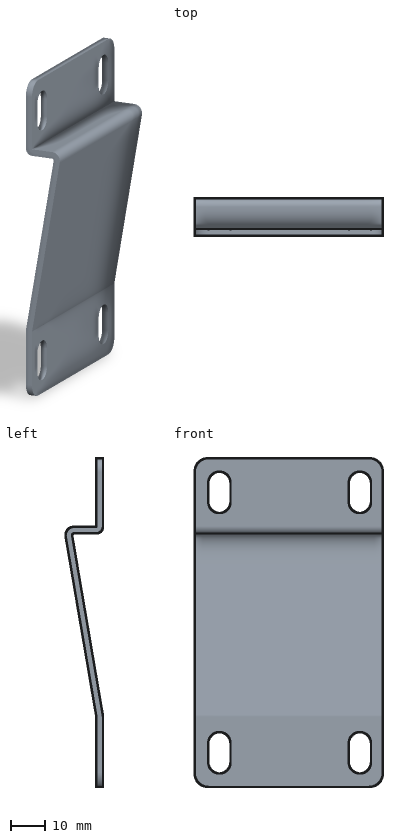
import cadquery as cq
import math

width = 55.0
depth = 11.0
height = 96.0
thickness = 2.0

upper_flange_height = 20.0
lower_flange_height = 20.5
inner_radius = 0.5
outer_radius = inner_radius + thickness

corner_radius = 4.0
slot_width = 6.4
slot_length = 12.0
slot_pitch = 41.0
slot_offset = 0.25
slot_edge_distance = 10.0

shelf_top = height - upper_flange_height
lower_bend = (thickness + inner_radius, lower_flange_height)
upper_bend = (depth - outer_radius, shelf_top - outer_radius)
flange_bend = (thickness, shelf_top)

bend_dy = upper_bend[0] - lower_bend[0]
bend_dz = upper_bend[1] - lower_bend[1]
bend_distance = math.hypot(bend_dy, bend_dz)
web_lean = math.degrees(
    math.atan2(bend_dy, bend_dz) + math.asin((inner_radius + outer_radius) / bend_distance)
)


def on_bend(center, radius, angle):
    """Point on a bend, with the angle in degrees from +Y towards +Z."""
    turn = math.radians(angle)
    return (center[0] + radius * math.cos(turn), center[1] + radius * math.sin(turn))


def add_bend(path, center, radius, start, end):
    """Run the path straight to the bend, then around it."""
    middle = (start + end) / 2
    return path.lineTo(*on_bend(center, radius, start)).threePointArc(
        on_bend(center, radius, middle), on_bend(center, radius, end)
    )


def make_folded_sheet():
    """Constant-thickness folded strip, centred on X = 0."""
    path = cq.Workplane("YZ").moveTo(0, 0)
    path = add_bend(path, lower_bend, outer_radius, 180, 180 - web_lean)
    path = add_bend(path, upper_bend, inner_radius, -web_lean, 90)
    path = add_bend(path, flange_bend, thickness, 270, 180)
    path = path.lineTo(0, height).lineTo(thickness, height)
    path = path.lineTo(*flange_bend)
    path = add_bend(path, upper_bend, outer_radius, 90, -web_lean)
    path = add_bend(path, lower_bend, inner_radius, 180 - web_lean, 180)
    path = path.lineTo(thickness, 0).close()
    return path.extrude(width / 2, both=True)


def round_corners(sheet):
    """Round the four outer corners of the flanges."""
    return sheet.faces("<Z or >Z").edges("|Y").fillet(corner_radius)


def cut_slots(sheet):
    """Upright mounting slots, two in each flange."""
    slot_heights = (slot_edge_distance, height - slot_edge_distance)
    slot_columns = (slot_offset - slot_pitch / 2, slot_offset + slot_pitch / 2)
    centers = [(x, z) for x in slot_columns for z in slot_heights]
    slots = (
        cq.Workplane("XZ")
        .pushPoints(centers)
        .slot2D(slot_length, slot_width, 90)
        .extrude(-thickness)
    )
    return sheet.cut(slots)


result = cut_slots(round_corners(make_folded_sheet()))